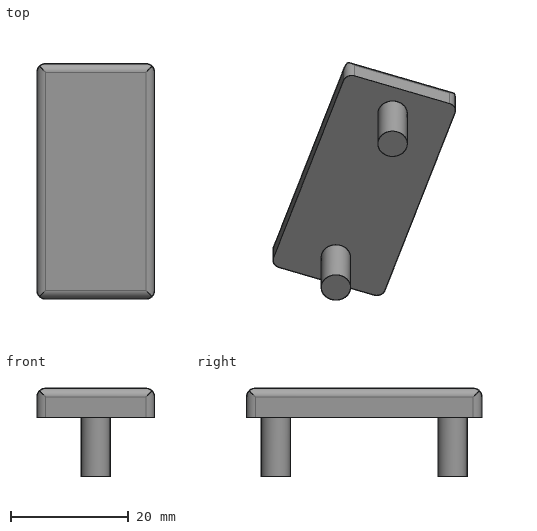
import cadquery as cq

plate_width = 20.0
plate_length = 40.0
plate_thickness = 5.0
edge_radius = 0.3 * plate_thickness

peg_diameter = 5.0
peg_length = 10.0
peg_spacing = 30.0


def plate_block():
    """Square-edged plate with its underside on Z = 0."""
    return cq.Workplane("XY").box(
        plate_width, plate_length, plate_thickness, centered=(True, True, False)
    )


def rounded_plate():
    """Plate whose edge rounds run straight through and meet in mitred corners."""
    rounded_corners = plate_block().edges("|Z").fillet(edge_radius)
    rounded_long_sides = plate_block().edges("|Y and >Z").fillet(edge_radius)
    rounded_ends = plate_block().edges("|X and >Z").fillet(edge_radius)
    return rounded_corners.intersect(rounded_long_sides).intersect(rounded_ends)


def pegs():
    """Two round pegs hanging below the plate on its long centreline."""
    peg_centres = [(0, side * peg_spacing / 2) for side in (-1, 1)]
    return (
        cq.Workplane("XY")
        .pushPoints(peg_centres)
        .circle(peg_diameter / 2)
        .extrude(-peg_length)
    )


result = rounded_plate().union(pegs())